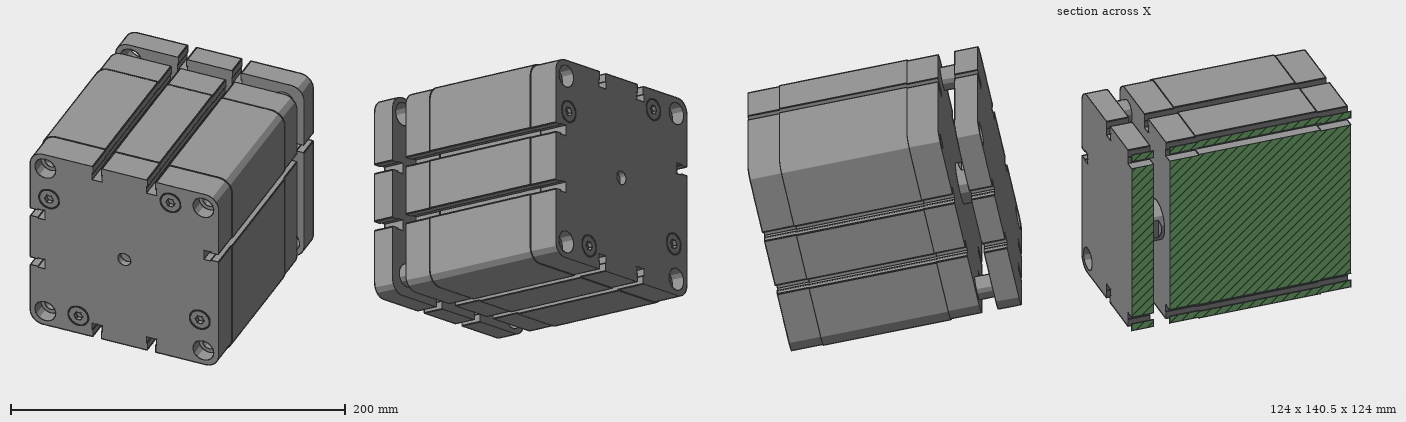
import cadquery as cq
import math


total_length = 140.5
plate_thickness = 14.0
plate_gap = 10.3
front_cap_length = 18.8
rear_cap_length = 19.4

rear_y = -total_length / 2
barrel_start_y = rear_y + rear_cap_length
plate_front_y = total_length / 2
plate_back_y = plate_front_y - plate_thickness
body_front_y = plate_back_y - plate_gap
barrel_end_y = body_front_y - front_cap_length

barrel_width = 124.0
cap_inset = 0.5
cap_width = barrel_width - 2 * cap_inset
barrel_corner_radius = 9.1
cap_corner_radius = barrel_corner_radius - cap_inset

slot_offset = 17.7
slot_mouth_width = 5.3
slot_base_width = 6.6
slot_depth = 9.5
slot_mouth_depth = 5.0
slot_bevel_width = 0.5
slot_bevel_depth = 0.3

slot_places = [
    (0, -slot_offset),
    (0, slot_offset),
    (180, -slot_offset),
    (180, slot_offset),
    (-90, -slot_offset),
    (-90, slot_offset),
    (90, -slot_offset),
]

mount_offset = 51.5
mount_bore_diameter = 8.5
mount_counterbore_diameter = 13.5
mount_counterbore_depth = 8.7
plate_hole_diameter = 14.0

screw_near_offset = 30.0
screw_far_offset = 49.2
screw_recess_diameter = 13.5
screw_head_diameter = 12.5
screw_groove_depth = 1.0
screw_socket_flats = 5.0
screw_socket_depth = 2.8

port_diameter = 8.5
port_depth = 4.5

guide_rod_diameter = 14.0
guide_rod_offset = 48.2
piston_rod_diameter = 25.0
piston_rod_chamfer = 1.3
rod_flats_width = 22.0
rod_flats_length = 6.9
rod_flats_height = 16.9

mount_corners = [(-1, 1), (1, -1)]
guide_corners = [(-1, -1), (1, 1)]


def section_plane(y):
    """Plane across the stroke axis at y, with local axes (X, Z) and its normal along -Y."""
    return cq.Workplane("XZ", origin=(0, y, 0))


def cylinder(x, z, diameter, y_start, y_end):
    """Cylinder parallel to Y."""
    return section_plane(y_end).center(x, z).circle(diameter / 2).extrude(y_end - y_start)


def slot_cutter(width, side_angle, offset):
    """Stepped slot with a bevelled mouth for a block of this width, turned about Y to its side."""
    face_z = width / 2
    half_mouth = slot_mouth_width / 2
    half_base = slot_base_width / 2
    half_outline = [
        (half_mouth + slot_bevel_width, face_z),
        (half_mouth, face_z - slot_bevel_depth),
        (half_mouth, face_z - slot_mouth_depth),
        (half_base, face_z - slot_mouth_depth),
        (half_base, face_z - slot_depth),
    ]
    other_half = [(-x, z) for x, z in reversed(half_outline)]
    cutter = section_plane(plate_front_y).polyline(half_outline + other_half).close().extrude(total_length)
    return cutter.translate((offset, 0, 0)).rotate((0, 0, 0), (0, 1, 0), side_angle)


def block(width, corner_radius, y_start, y_end):
    """Square block with rounded long edges and side slots between two Y stations."""
    solid = section_plane(y_end).rect(width, width).extrude(y_end - y_start)
    solid = solid.edges("|Y").fillet(corner_radius)
    for side_angle, offset in slot_places:
        solid = solid.cut(slot_cutter(width, side_angle, offset))
    return solid


def piston_rod():
    """Round rod, chamfered at the plate, with two wrench flats that run out at 45 degrees."""
    rod = cylinder(0, 0, piston_rod_diameter, body_front_y, plate_back_y)
    rod = rod.faces(">Y").chamfer(piston_rod_chamfer)
    flat_x = rod_flats_width / 2
    run_out = piston_rod_diameter / 2 - flat_x
    flat_end_y = plate_back_y - rod_flats_length
    flat_cutter = (
        cq.Workplane("XY")
        .moveTo(flat_x, plate_back_y)
        .lineTo(flat_x, flat_end_y)
        .lineTo(flat_x + run_out, flat_end_y - run_out)
        .lineTo(flat_x + run_out, plate_back_y)
        .close()
        .extrude(rod_flats_height / 2, both=True)
    )
    return rod.cut(flat_cutter).cut(flat_cutter.mirror("YZ"))


def screw_cutter(x, z):
    """Thin groove around a flush screw head, plus the hexagon socket in the head."""
    groove_end_y = rear_y + screw_groove_depth
    groove = cylinder(x, z, screw_recess_diameter, rear_y, groove_end_y)
    groove = groove.cut(cylinder(x, z, screw_head_diameter, rear_y, groove_end_y))
    socket_corners = screw_socket_flats / math.cos(math.radians(30))
    socket = (
        section_plane(rear_y + screw_socket_depth)
        .center(x, z)
        .polygon(6, socket_corners)
        .extrude(screw_socket_depth)
    )
    return groove.union(socket)


def mount_cutter(x_sign, z_sign, bore_end_y):
    """Counterbored hole from the rear face at one corner."""
    x = x_sign * mount_offset
    z = z_sign * mount_offset
    bore = cylinder(x, z, mount_bore_diameter, rear_y, bore_end_y)
    counterbore_end_y = rear_y + mount_counterbore_depth
    return bore.union(cylinder(x, z, mount_counterbore_diameter, rear_y, counterbore_end_y))


rear_cap = block(cap_width, cap_corner_radius, rear_y, barrel_start_y)
barrel = block(barrel_width, barrel_corner_radius, barrel_start_y, barrel_end_y)
front_cap = block(cap_width, cap_corner_radius, barrel_end_y, body_front_y)
end_plate = block(cap_width, cap_corner_radius, plate_back_y, plate_front_y)
result = rear_cap.union(barrel).union(front_cap).union(end_plate)

for x_sign, z_sign in mount_corners:
    result = result.cut(mount_cutter(x_sign, z_sign, body_front_y))
    plate_hole = cylinder(
        x_sign * mount_offset, z_sign * mount_offset, plate_hole_diameter, plate_back_y, plate_front_y
    )
    result = result.cut(plate_hole)
for x_sign, z_sign in guide_corners:
    result = result.cut(mount_cutter(x_sign, z_sign, barrel_start_y))

screw_places = [
    (screw_near_offset, screw_far_offset),
    (screw_far_offset, -screw_near_offset),
    (-screw_near_offset, -screw_far_offset),
    (-screw_far_offset, screw_near_offset),
]
for x, z in screw_places:
    result = result.cut(screw_cutter(x, z))

result = result.cut(cylinder(0, 0, port_diameter, rear_y, rear_y + port_depth))

for x_sign, z_sign in guide_corners:
    guide_rod = cylinder(
        x_sign * guide_rod_offset, z_sign * guide_rod_offset, guide_rod_diameter, body_front_y, plate_back_y
    )
    result = result.union(guide_rod)
result = result.union(piston_rod())